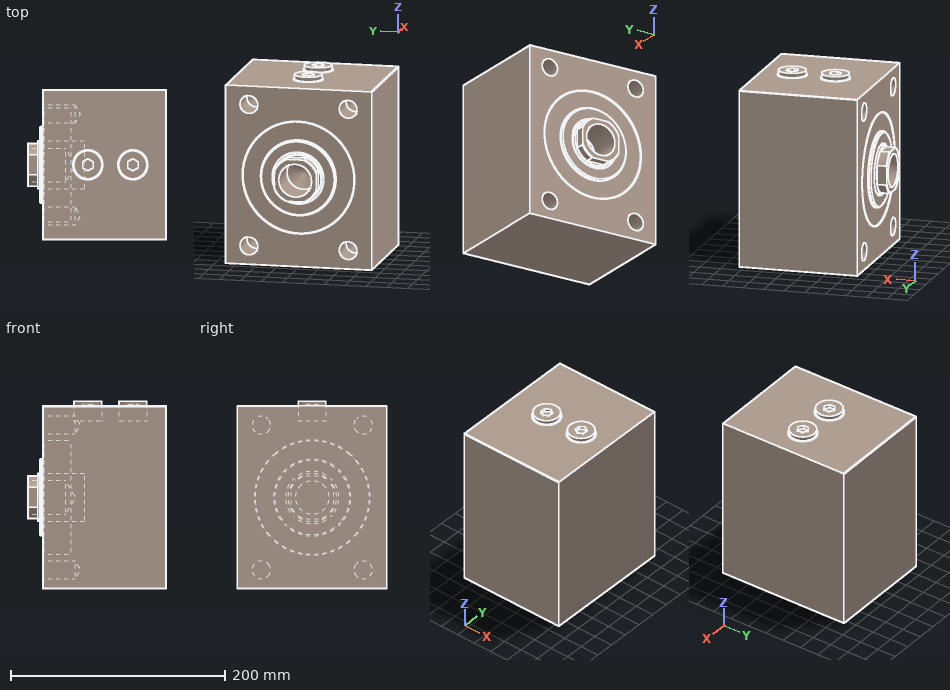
import cadquery as cq
import math


overall_height = 174.9
block_length = 115.0
block_width = 140.0
block_height = 170.4
top_edge_chamfer = 0.5

mount_hole_diameter = 17.0
mount_hole_depth = 29.7
mount_spacing_y = 95.0
mount_spacing_z = 135.0
drill_tip_angle = 118.0

gland_diameter = 106.3
gland_depth = 26.2
gland_seat_chamfer = 0.7
collar_diameter = 72.0
collar_height = 3.0
collar_chamfer_axial = 1.4
collar_chamfer_radial = 1.2
wiper_recess_diameter = 49.3
wiper_recess_depth = 1.7

rod_diameter = 45.1
rod_tip_reach = 14.0
rod_shoulder_reach = 4.5
rod_depth = 38.5
wrench_section_diameter = 44.0
wrench_flat_width = 40.0
rod_tip_chamfer = 0.5
rod_bore_diameter = 31.3
rod_bore_depth = 35.0

plug_diameter = 26.0
plug_height = overall_height - block_height
plug_base_diameter = 28.0
plug_flare_height = 0.3
plug_depth = 14.0
first_plug_x = 42.0
plug_spacing = 42.0
plug_count = 2
hex_sides = 6
hex_across_flats = 9.8
hex_depth = 3.1

block_top = block_height / 2
plug_positions = [first_plug_x + i * plug_spacing for i in range(plug_count)]


def rod_cylinder(diameter, x_start, x_end):
    """Cylinder on the rod axis between two X positions."""
    return cq.Workplane("YZ").workplane(offset=x_start).circle(diameter / 2).extrude(x_end - x_start)


def drilled_hole(diameter, x_start, depth):
    """Blind hole along +X with a conical drill tip, on the rod axis."""
    radius = diameter / 2
    tip_length = radius / math.tan(math.radians(drill_tip_angle / 2))
    return (
        cq.Workplane("XY")
        .moveTo(x_start, 0)
        .lineTo(x_start, radius)
        .lineTo(x_start + depth, radius)
        .lineTo(x_start + depth + tip_length, 0)
        .close()
        .revolve(360, (0, 0, 0), (1, 0, 0))
    )


def make_housing():
    """Block with chamfered long top edges, mounting holes, gland seat and plug ports."""
    block = cq.Workplane("XY").box(block_length, block_width, block_height, centered=(False, True, True))
    block = block.faces(">Z").edges("|X").chamfer(top_edge_chamfer)

    for y in (-mount_spacing_y / 2, mount_spacing_y / 2):
        for z in (-mount_spacing_z / 2, mount_spacing_z / 2):
            block = block.cut(drilled_hole(mount_hole_diameter, 0, mount_hole_depth).translate((0, y, z)))

    seat_mouth = cq.Solid.makeCone(
        gland_diameter / 2 + gland_seat_chamfer,
        gland_diameter / 2,
        gland_seat_chamfer,
        cq.Vector(0, 0, 0),
        cq.Vector(1, 0, 0),
    )
    block = block.cut(rod_cylinder(gland_diameter, 0, gland_depth))
    block = block.cut(cq.Workplane(obj=seat_mouth))
    block = block.cut(rod_cylinder(rod_diameter, 0, rod_depth))

    return (
        block.faces(">Z")
        .workplane(origin=(0, 0, block_top))
        .pushPoints([(x, 0) for x in plug_positions])
        .hole(plug_diameter, plug_depth)
    )


def make_gland():
    """Flush disc with a chamfered collar, bored for the rod and recessed around it."""
    gland = rod_cylinder(gland_diameter, 0, gland_depth)
    collar = (
        rod_cylinder(collar_diameter, -collar_height, 0)
        .faces("<X")
        .edges()
        .chamfer(collar_chamfer_axial, collar_chamfer_radial)
    )
    recess = rod_cylinder(wiper_recess_diameter, -collar_height, wiper_recess_depth - collar_height)
    return gland.union(collar).cut(recess).cut(rod_cylinder(rod_diameter, -collar_height, gland_depth))


def make_rod():
    """Round rod with a bored tip carrying four wrench flats."""
    shank = rod_cylinder(rod_diameter, -rod_shoulder_reach, rod_depth)
    wrench_section = (
        rod_cylinder(wrench_section_diameter, -rod_tip_reach, -rod_shoulder_reach)
        .faces("<X")
        .chamfer(rod_tip_chamfer)
    )
    flats = (
        cq.Workplane("YZ")
        .workplane(offset=-rod_tip_reach)
        .rect(wrench_flat_width, wrench_flat_width)
        .extrude(rod_tip_reach - rod_shoulder_reach)
    )
    bore = drilled_hole(rod_bore_diameter, -rod_tip_reach, rod_bore_depth)
    return shank.union(wrench_section.intersect(flats)).cut(bore)


def make_plug(x):
    """Round plug with a thin flared foot on the top face and a hex socket."""
    plug = (
        cq.Workplane("XY")
        .workplane(offset=block_top - plug_depth)
        .circle(plug_diameter / 2)
        .extrude(plug_depth + plug_height)
    )
    flare = cq.Solid.makeCone(
        plug_base_diameter / 2,
        plug_diameter / 2,
        plug_flare_height,
        cq.Vector(0, 0, block_top),
    )
    hex_socket = (
        cq.Workplane("XY")
        .workplane(offset=block_top + plug_height)
        .polygon(hex_sides, hex_across_flats, circumscribed=True)
        .extrude(-hex_depth)
    )
    return plug.union(cq.Workplane(obj=flare)).cut(hex_socket).translate((x, 0, 0))


housing = make_housing()
gland = make_gland()
rod = make_rod()
plugs = [make_plug(x) for x in plug_positions]

result = cq.Compound.makeCompound(
    [housing.val(), gland.val(), rod.val(), *[plug.val() for plug in plugs]]
)